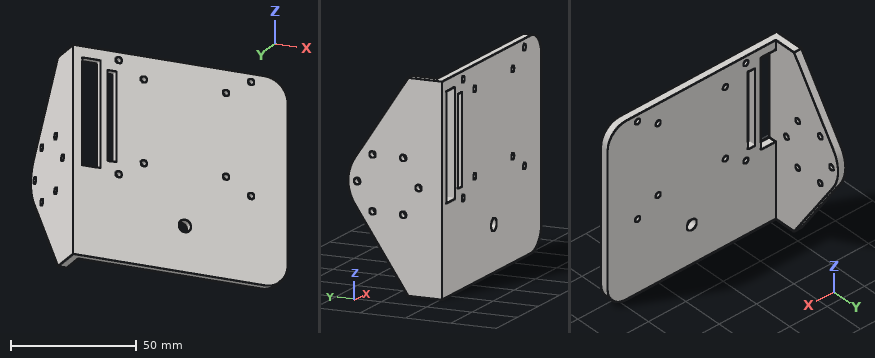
import cadquery as cq
import math

width = 94.0
depth = 41.5
height = 90.0
thickness = 4.0
plate_corner_radius = 10.0
screw_hole_diameter = 2.6

pattern_x = 49.0
pattern_z = 61.9
pattern_spacings = [(58.0, 49.0), (36.0, 36.0)]
large_hole_diameter = 5.3
large_hole_z = 19.9

window_width = 8.0
window_height = 46.2
opening_corner_radius = 0.5
slot_left = 15.0
slot_width = 3.95
slot_height = 38.9

flange_straight_depth = 15.0
ring_y = 24.0
ring_z = height / 2
ring_radius = 13.5
ring_hole_count = 6
flange_tip_radius = depth - ring_y


def make_plate():
    """Plate in the XZ plane, with its two free corners rounded."""
    plate = cq.Workplane("XY").box(width, thickness, height, centered=False)
    return plate.edges("|Y and >X").fillet(plate_corner_radius)


def make_flange():
    """Flange in the YZ plane, tapering tangentially into a round tip."""
    shoulder_y = flange_straight_depth - ring_y
    shoulder_z = height - ring_z
    shoulder_distance = math.hypot(shoulder_y, shoulder_z)
    tangent_angle = math.atan2(shoulder_z, shoulder_y) - math.acos(flange_tip_radius / shoulder_distance)
    tangent_y = ring_y + flange_tip_radius * math.cos(tangent_angle)
    tangent_rise = flange_tip_radius * math.sin(tangent_angle)
    return (
        cq.Workplane("YZ")
        .lineTo(flange_straight_depth, 0)
        .lineTo(tangent_y, ring_z - tangent_rise)
        .threePointArc((depth, ring_z), (tangent_y, ring_z + tangent_rise))
        .lineTo(flange_straight_depth, height)
        .lineTo(0, height)
        .close()
        .extrude(thickness)
    )


def plate_opening(left, opening_width, opening_height, rounded_edges):
    """Cutter for an upright rectangular opening through the plate."""
    opening = cq.Workplane("XY").box(
        opening_width, thickness, opening_height, centered=(False, False, True)
    )
    opening = opening.edges(rounded_edges).fillet(opening_corner_radius)
    return opening.translate((left, 0, pattern_z))


def plate_holes(points, diameter):
    """Cutters for round holes through the plate at (x, z) points."""
    return cq.Workplane("XZ").pushPoints(points).circle(diameter / 2).extrude(-thickness)


def flange_holes():
    """Cutters for the ring of screw holes through the flange."""
    return (
        cq.Workplane("YZ")
        .center(ring_y, ring_z)
        .polarArray(ring_radius, 0, 360, ring_hole_count)
        .circle(screw_hole_diameter / 2)
        .extrude(thickness)
    )


screw_points = [
    (pattern_x + side * spacing_x / 2, pattern_z + level * spacing_z / 2)
    for spacing_x, spacing_z in pattern_spacings
    for side in (-1, 1)
    for level in (-1, 1)
]

result = make_plate().union(make_flange())

result = result.cut(
    plate_opening(thickness, window_width, window_height, "|Y and >X")
)
result = result.cut(
    plate_opening(slot_left, slot_width, slot_height, "|Y")
)
result = result.cut(plate_holes(screw_points, screw_hole_diameter))
result = result.cut(plate_holes([(pattern_x, large_hole_z)], large_hole_diameter))
result = result.cut(flange_holes())